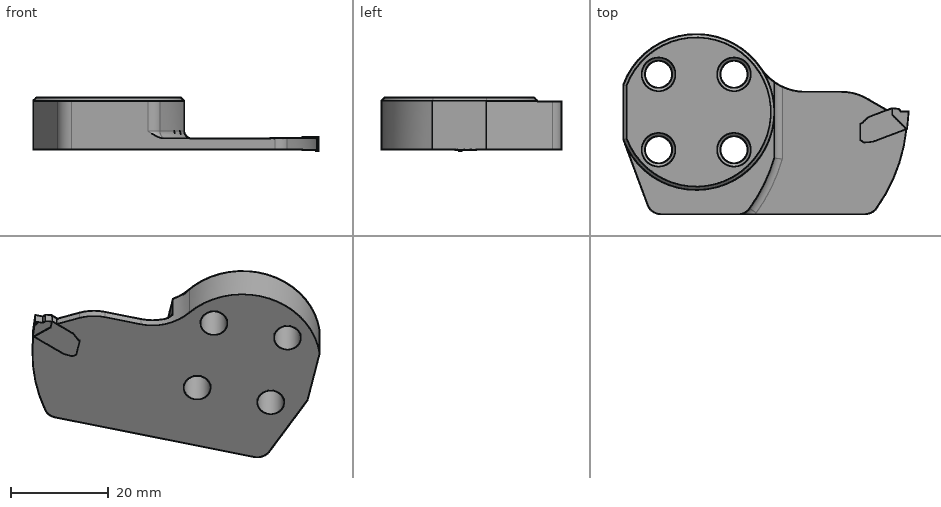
import cadquery as cq
import math

PLATE_TOP = 2.3
SHOULDER_TOP = 9.9
DISC_TOP = 10.7
SHANK_TOP = 2.45
HEAD_TOP = 2.65
HEAD_BOTTOM = -0.2
TIP_BOTTOM = -0.3

DISC_RADIUS = 16.0
DISC_CHAMFER = 0.7
FLAT_X = -15.0
FLAT_HALF = math.sqrt(DISC_RADIUS**2 - FLAT_X**2)
HOLE_DIAMETER = 5.5
HOLE_PITCH = 15.45
COUNTERSINK_DIAMETER = 6.9
COUNTERSINK_ANGLE = 90

FRONT_Y = -21.0
BACK_Y = 4.15
NECK_RADIUS = 10.95
BACK_CORNER_X = 32.6
BACK_CORNER_RADIUS = 10.0
SLOPE_ANGLE = 30
NOSE_RADIUS = 33.95
NOSE_CENTRE_X = 9.4
FRONT_CORNER_RADIUS = 3.0

WALL_X = DISC_RADIUS
WALL_BEND_Y = -9.4
WALL_RADIUS = 33.7
WALL_FOOT_RADIUS = 1.6
MARGIN = 11.7
SELECT_GAP = 0.6
BLANK_LEFT = FLAT_X - MARGIN
BLANK_RIGHT = NOSE_CENTRE_X + NOSE_RADIUS + MARGIN
BLANK_BACK = DISC_RADIUS + MARGIN

HEAD_CORNER = (40.2, 0.8)
HEAD_INNER = (40.2, -0.6)
HEAD_FRONT = (42.95, -3.35)
HEAD_END = (43.25, -3.45)
CUTTING_Y = 0.1
CUTTING_POINT = (43.6, CUTTING_Y)
TIP_WIDTH = 0.65
HEAD_OUTLINE = [
    HEAD_CORNER,
    (41.55, 0.65),
    (41.95, CUTTING_Y),
    CUTTING_POINT,
    HEAD_END,
    HEAD_FRONT,
    HEAD_INNER,
]
SHANK_OUTLINE = [
    HEAD_CORNER,
    HEAD_INNER,
    HEAD_FRONT,
    HEAD_END,
    (42.9, -3.6),
    (36.2, -6.1),
    (34.4, -6.25),
    (33.65, -5.75),
    (33.65, -2.4),
    (34.05, -2.2),
    (35.3, -1.05),
]


def prism(outline, bottom, top):
    return cq.Workplane("XY").workplane(offset=bottom).polyline(outline).close().extrude(top - bottom)


def on_circle(centre_x, radius, y):
    """Right-hand point at height y of a circle centred on the X axis."""
    return (centre_x + math.sqrt(radius**2 - y**2), y)


def on_circle_middle(centre_x, radius, start_y, end_y):
    """Arc point halfway in angle between two heights on such a circle."""
    angle = (math.asin(start_y / radius) + math.asin(end_y / radius)) / 2
    return (centre_x + radius * math.cos(angle), radius * math.sin(angle))


def upright_edge(x, y):
    """Selector for the vertical shoulder-high edge at a corner."""
    return cq.selectors.NearestToPointSelector((x, y, SHOULDER_TOP / 2))


def body_outline_prism():
    side_foot_x = FLAT_X + (-FLAT_HALF - FRONT_Y) * FLAT_HALF / -FLAT_X

    neck_y = BACK_Y + NECK_RADIUS
    centre_distance = DISC_RADIUS + NECK_RADIUS
    neck_x = math.sqrt(centre_distance**2 - neck_y**2)
    neck_angle = math.atan2(neck_y, neck_x)
    neck_start = (DISC_RADIUS * math.cos(neck_angle), DISC_RADIUS * math.sin(neck_angle))
    neck_middle_angle = (neck_angle + math.pi + math.pi * 3 / 2) / 2
    neck_middle = (
        neck_x + NECK_RADIUS * math.cos(neck_middle_angle),
        neck_y + NECK_RADIUS * math.sin(neck_middle_angle),
    )

    slope = math.radians(SLOPE_ANGLE)
    from_centre = BACK_CORNER_X - NOSE_CENTRE_X
    along = from_centre * math.cos(slope) - BACK_Y * math.sin(slope)
    slope_length = -along + math.sqrt(along**2 + NOSE_RADIUS**2 - from_centre**2 - BACK_Y**2)
    nose_top_y = BACK_Y - slope_length * math.sin(slope)
    nose_foot = on_circle(NOSE_CENTRE_X, NOSE_RADIUS, FRONT_Y)

    outline = (
        cq.Workplane("XY")
        .moveTo(FLAT_X, -FLAT_HALF)
        .lineTo(FLAT_X, FLAT_HALF)
        .threePointArc((0, DISC_RADIUS), neck_start)
        .threePointArc(neck_middle, (neck_x, BACK_Y))
        .lineTo(BACK_CORNER_X, BACK_Y)
        .lineTo(*on_circle(NOSE_CENTRE_X, NOSE_RADIUS, nose_top_y))
        .threePointArc(on_circle_middle(NOSE_CENTRE_X, NOSE_RADIUS, nose_top_y, FRONT_Y), nose_foot)
        .lineTo(side_foot_x, FRONT_Y)
        .close()
        .extrude(SHOULDER_TOP)
    )

    outline = outline.edges("|Z").edges(upright_edge(side_foot_x, FRONT_Y)).fillet(FRONT_CORNER_RADIUS)
    outline = outline.edges("|Z").edges(upright_edge(*nose_foot)).fillet(FRONT_CORNER_RADIUS)
    return outline.edges("|Z").edges(upright_edge(BACK_CORNER_X, BACK_Y)).fillet(BACK_CORNER_RADIUS)


def blank_block(right, height):
    """Block from the blank's left side to a given X, over the full depth of the blank in Y."""
    front = FRONT_Y - MARGIN
    outline = [(BLANK_LEFT, front), (right, front), (right, BLANK_BACK), (BLANK_LEFT, BLANK_BACK)]
    return prism(outline, 0, height)


def stepped_blank(shoulder):
    """Oversized plate with a shoulder standing on it and a rounded foot along the shoulder's wall."""
    plate = blank_block(BLANK_RIGHT, PLATE_TOP)
    foot_zone = cq.selectors.BoxSelector(
        (BLANK_LEFT + SELECT_GAP, FRONT_Y - MARGIN + SELECT_GAP, PLATE_TOP - SELECT_GAP),
        (BLANK_RIGHT - SELECT_GAP, BLANK_BACK - SELECT_GAP, PLATE_TOP + SELECT_GAP),
    )
    return plate.union(shoulder).edges(foot_zone).fillet(WALL_FOOT_RADIUS)


def straight_wall_blank():
    return stepped_blank(blank_block(WALL_X, SHOULDER_TOP))


def curved_wall_blank():
    wall_centre_x = WALL_X - math.sqrt(WALL_RADIUS**2 - WALL_BEND_Y**2)
    wall_end = on_circle(wall_centre_x, WALL_RADIUS, FRONT_Y)
    wall_top_x = wall_centre_x + WALL_RADIUS
    shoulder = (
        cq.Workplane("XY")
        .moveTo(BLANK_LEFT, BLANK_BACK)
        .lineTo(wall_top_x, BLANK_BACK)
        .lineTo(wall_top_x, 0)
        .threePointArc(on_circle_middle(wall_centre_x, WALL_RADIUS, 0, FRONT_Y), wall_end)
        .lineTo(BLANK_LEFT, FRONT_Y)
        .close()
        .extrude(SHOULDER_TOP)
    )
    return stepped_blank(shoulder.edges("|Z").edges(upright_edge(*wall_end)).fillet(FRONT_CORNER_RADIUS))


def disc():
    plain = (
        cq.Workplane("XY")
        .workplane(offset=SHOULDER_TOP)
        .moveTo(FLAT_X, -FLAT_HALF)
        .lineTo(FLAT_X, FLAT_HALF)
        .threePointArc((DISC_RADIUS, 0), (FLAT_X, -FLAT_HALF))
        .close()
        .extrude(DISC_TOP - SHOULDER_TOP)
    )
    return plain.faces(">Z").chamfer(DISC_CHAMFER)


def make_insert():
    shank = prism(SHANK_OUTLINE, 0, SHANK_TOP)
    head = prism(HEAD_OUTLINE, HEAD_BOTTOM, HEAD_TOP)
    tip_x, tip_y = CUTTING_POINT
    tip_outline = [CUTTING_POINT, (tip_x - TIP_WIDTH, tip_y), (tip_x - TIP_WIDTH / 2, tip_y - TIP_WIDTH)]
    tip = prism(tip_outline, TIP_BOTTOM, HEAD_TOP)
    return shank.union(head).union(tip)


def make_holder(insert):
    body = body_outline_prism().intersect(straight_wall_blank()).intersect(curved_wall_blank())
    body = body.union(disc())
    body = (
        body.faces(">Z")
        .workplane(origin=(0, 0, DISC_TOP))
        .rect(HOLE_PITCH, HOLE_PITCH, forConstruction=True)
        .vertices()
        .cskHole(HOLE_DIAMETER, COUNTERSINK_DIAMETER, COUNTERSINK_ANGLE)
    )
    return body.cut(insert)


cutting_insert = make_insert()
holder = make_holder(cutting_insert)

result = cq.Compound.makeCompound([holder.solids().val(), cutting_insert.solids().val()])